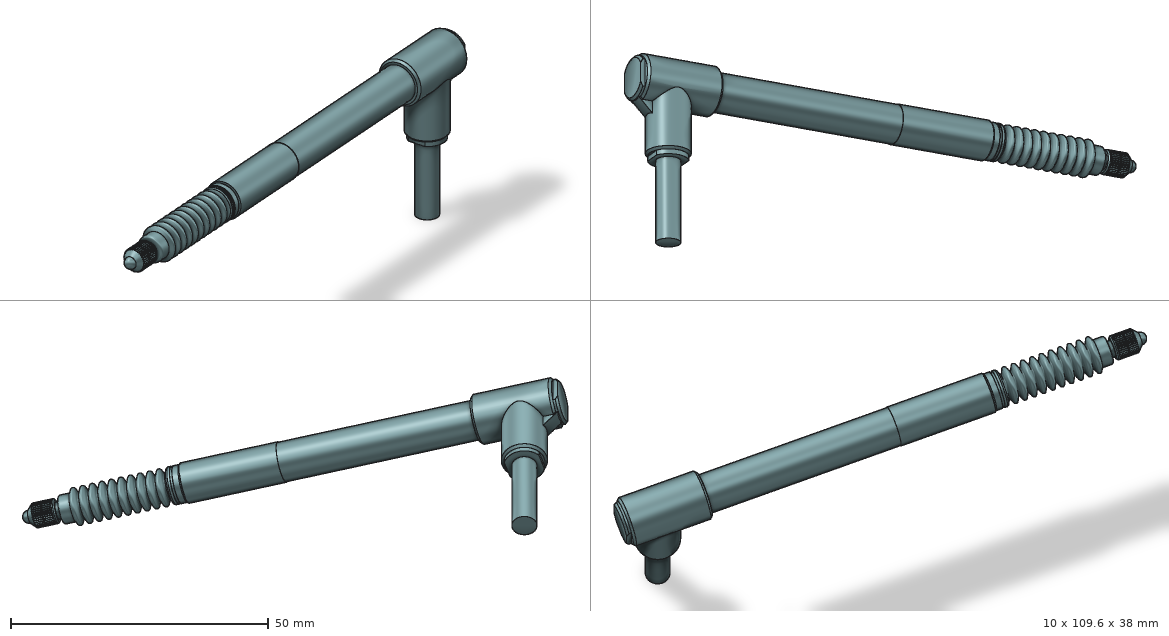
import cadquery as cq
import math

OVERALL_LENGTH = 109.6
CHAMFER = 0.5

HOUSING_DIAMETER = 10.0
HOUSING_START = 1.0
HOUSING_END = 17.5
CAP_DIAMETER = 9.0
WRENCH_FLATS = 7.0

BRANCH_POSITION = 7.8
BRANCH_DIAMETER = 9.0
BRANCH_DEPTH = 15.0
BRANCH_RING_DIAMETER = 8.0
BRANCH_RING_HEIGHT = 1.0
CABLE_DIAMETER = 4.9
CABLE_DEPTH = 33.0
GUSSET_START = 0.6
GUSSET_TOP = -4.3
GUSSET_THICKNESS = 3.0

TUBE_DIAMETER = 7.9
SLEEVE_DIAMETER = 8.1
SLEEVE_START = 57.0
SLEEVE_LENGTH = 19.7
SLEEVE_END = SLEEVE_START + SLEEVE_LENGTH

BELLOWS_DIAMETER = 7.6
BELLOWS_ROOT_DIAMETER = 5.2
COLLAR_CHAMFER = 0.3
COLLAR_GROOVE_POSITION = 78.5
COLLAR_GROOVE_WIDTH = 0.5
COLLAR_GROOVE_DEPTH = 0.2
RIDGE_COUNT = 11
RIDGE_PITCH = 1.94
RIDGE_CREST = 0.7
RIDGE_BASE = 1.5
RIDGE_ROUNDING = 0.2
FIRST_RIDGE = 79.25
BELLOWS_END_DIAMETER = 5.8
BELLOWS_END = 101.8
BELLOWS_END_RADIUS = 0.5

NECK_DIAMETER = 3.4
HEAD_DIAMETER = 5.0
HEAD_START = 102.6
HEAD_CHAMFER = 0.3
KNURL_START = 103.2
KNURL_GROOVE_POSITION = 105.25
KNURL_GROOVE_WIDTH = 0.2
NOSE_RADIUS = 1.3
NOSE_CENTER = OVERALL_LENGTH - NOSE_RADIUS
KNURL_END = NOSE_CENTER - (HEAD_DIAMETER / 2 - NOSE_RADIUS)
SERRATION_COUNT = 36
SERRATION_DEPTH = 0.2


def barrel_cylinder(start, end, diameter):
    """Cylinder on the barrel axis between two distances from the rear."""
    plane = cq.Workplane("XZ", origin=(0, -start, 0))
    return plane.circle(diameter / 2).extrude(end - start)


def ring_groove(position, width, depth, diameter):
    """Cutter for a rectangular groove around a cylinder of the given diameter."""
    start = position - width / 2
    end = position + width / 2
    return barrel_cylinder(start, end, diameter + 2 * depth).cut(
        barrel_cylinder(start, end, diameter - 2 * depth)
    )


def hanging_cylinder(top, bottom, diameter):
    """Vertical cylinder on the branch axis between two depths below the barrel axis."""
    plane = cq.Workplane("XY", origin=(0, -BRANCH_POSITION, -bottom))
    return plane.circle(diameter / 2).extrude(bottom - top)


def make_housing():
    housing = barrel_cylinder(HOUSING_START, HOUSING_END, HOUSING_DIAMETER)
    housing = housing.faces("|Y").chamfer(CHAMFER)
    cap = barrel_cylinder(0, HOUSING_START, CAP_DIAMETER).faces(">Y").chamfer(CHAMFER)
    flats = cq.Workplane("XY").box(WRENCH_FLATS, 2 * HOUSING_START, CAP_DIAMETER)
    return housing.union(cap.intersect(flats))


def make_branch():
    ring_bottom = BRANCH_DEPTH + BRANCH_RING_HEIGHT
    branch = hanging_cylinder(0, BRANCH_DEPTH, BRANCH_DIAMETER).faces("<Z").chamfer(CHAMFER)
    ring = hanging_cylinder(BRANCH_DEPTH, ring_bottom, BRANCH_RING_DIAMETER)
    flats = cq.Workplane("XY", origin=(0, -BRANCH_POSITION, -ring_bottom)).box(
        BRANCH_RING_DIAMETER, WRENCH_FLATS, 2 * BRANCH_RING_HEIGHT
    )
    cable = hanging_cylinder(BRANCH_DEPTH, CABLE_DEPTH, CABLE_DIAMETER)
    return branch.union(ring.intersect(flats)).union(cable)


def make_gusset():
    """45 degree web between the rear of the housing and the branch."""
    run = BRANCH_POSITION - GUSSET_START
    return (
        cq.Workplane("YZ")
        .moveTo(-GUSSET_START, GUSSET_TOP)
        .lineTo(-BRANCH_POSITION, GUSSET_TOP - run)
        .lineTo(-BRANCH_POSITION, GUSSET_TOP)
        .close()
        .extrude(GUSSET_THICKNESS / 2, both=True)
    )


def make_tube():
    tube = barrel_cylinder(HOUSING_START, SLEEVE_START, TUBE_DIAMETER)
    return tube.union(barrel_cylinder(SLEEVE_START, SLEEVE_END, SLEEVE_DIAMETER))


def make_bellows():
    """Revolved boot: a grooved collar, rounded ridges and roots, and a smaller front collar."""
    crest = BELLOWS_DIAMETER / 2
    root = BELLOWS_ROOT_DIAMETER / 2
    end_radius = BELLOWS_END_DIAMETER / 2
    half_crest = RIDGE_CREST / 2
    half_base = RIDGE_BASE / 2
    shoulder = crest - RIDGE_ROUNDING
    arc_inset = BELLOWS_END_RADIUS * (1 - math.sqrt(0.5))

    profile = (
        cq.Workplane("XY")
        .moveTo(0, -SLEEVE_END)
        .lineTo(crest - COLLAR_CHAMFER, -SLEEVE_END)
        .lineTo(crest, -(SLEEVE_END + COLLAR_CHAMFER))
    )
    for index in range(RIDGE_COUNT):
        center = FIRST_RIDGE + index * RIDGE_PITCH
        if index == 0:
            profile = profile.lineTo(crest, -center)
            profile = profile.lineTo(shoulder, -(center + half_crest))
        else:
            previous_base = center - RIDGE_PITCH + half_base
            profile = profile.lineTo(root + RIDGE_ROUNDING, -previous_base)
            profile = profile.threePointArc(
                (root, -(center - RIDGE_PITCH / 2)), (root + RIDGE_ROUNDING, -(center - half_base))
            )
            profile = profile.lineTo(shoulder, -(center - half_crest))
            profile = profile.threePointArc((crest, -center), (shoulder, -(center + half_crest)))
    last_ridge = FIRST_RIDGE + (RIDGE_COUNT - 1) * RIDGE_PITCH
    bellows = (
        profile.lineTo(end_radius, -(last_ridge + half_base))
        .lineTo(end_radius, -(BELLOWS_END - BELLOWS_END_RADIUS))
        .threePointArc(
            (end_radius - arc_inset, -(BELLOWS_END - arc_inset)),
            (end_radius - BELLOWS_END_RADIUS, -BELLOWS_END),
        )
        .lineTo(0, -BELLOWS_END)
        .close()
        .revolve(360, (0, 0), (0, 1))
    )
    return bellows.cut(
        ring_groove(COLLAR_GROOVE_POSITION, COLLAR_GROOVE_WIDTH, COLLAR_GROOVE_DEPTH, BELLOWS_DIAMETER)
    )


def make_tip():
    """Neck and knurled head with a 45 degree front cone and a hemispherical nose."""
    neck = NECK_DIAMETER / 2
    head = HEAD_DIAMETER / 2
    arc_offset = NOSE_RADIUS * math.sqrt(0.5)
    tip = (
        cq.Workplane("XY")
        .moveTo(0, -SLEEVE_END)
        .lineTo(neck, -SLEEVE_END)
        .lineTo(neck, -HEAD_START)
        .lineTo(head - HEAD_CHAMFER, -HEAD_START)
        .lineTo(head, -(HEAD_START + HEAD_CHAMFER))
        .lineTo(head, -KNURL_END)
        .lineTo(NOSE_RADIUS, -NOSE_CENTER)
        .threePointArc((arc_offset, -(NOSE_CENTER + arc_offset)), (0, -OVERALL_LENGTH))
        .close()
        .revolve(360, (0, 0), (0, 1))
    )
    groove = ring_groove(KNURL_GROOVE_POSITION, KNURL_GROOVE_WIDTH, SERRATION_DEPTH, HEAD_DIAMETER)
    return tip.cut(make_serrations()).cut(groove)


def make_serrations():
    """Cutter for the V grooves along the head, running out through the front cone."""
    outer = HEAD_DIAMETER / 2
    inner = outer - SERRATION_DEPTH
    half_pitch = math.pi / SERRATION_COUNT
    teeth = []
    for index in range(SERRATION_COUNT):
        crest_angle = 2 * index * half_pitch
        valley_angle = crest_angle + half_pitch
        teeth.append((outer * math.cos(crest_angle), outer * math.sin(crest_angle)))
        teeth.append((inner * math.cos(valley_angle), inner * math.sin(valley_angle)))
    plane = cq.Workplane("XZ", origin=(0, -KNURL_START, 0))
    length = NOSE_CENTER - KNURL_START
    toothed_core = plane.polyline(teeth).close().extrude(length)
    return plane.circle(HEAD_DIAMETER).extrude(length).cut(toothed_core)


result = (
    make_housing()
    .union(make_branch())
    .union(make_gusset())
    .union(make_tube())
    .union(make_bellows())
    .union(make_tip())
)